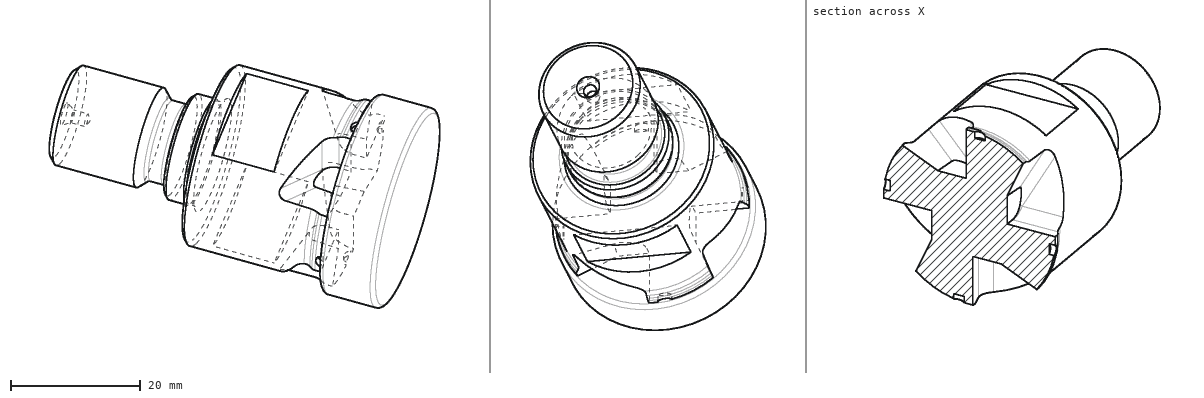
import cadquery as cq
import math

length = 56.0
collar_radius = 16.0
collar_start = 47.0
collar_edge_round = 0.65
body_start = 24.0
body_radius = 14.5
body_chamfer = 0.55
pilot_start = 19.0
pilot_radius = 8.5
pilot_chamfer = 0.55
spigot_radius = 8.0
spigot_end = 14.05
spigot_chamfer = 0.95
neck_radius = 6.5
neck_fillet = 0.95
neck_entry_fillet = 0.9
neck_entry_angle = math.radians(45)

undercut_start = 22.4
undercut_depth = 0.2
undercut_floor_start = 22.75
undercut_floor_end = 23.35
undercut_face_radius = 9.05
undercut_face_depth = 0.15
undercut_outer_radius = 9.85

flare_start = 44.05
flare_radius = 15.25
flare_angle = math.radians(32)
flare_hollow_round = 1.95
flare_crest_round = 1.0

flat_start = 27.0
flat_end = 37.0
flat_distance = 12.0

centre_mouth_radius = 1.8
centre_bore_radius = 1.0
centre_bore_end = 3.65
centre_cone_half_angle = math.radians(30)
centre_tip_half_angle = math.radians(60)

pocket_count = 4
pocket_wall_y = -0.6
pocket_floor_z = 6.7
pocket_wall_corner_x = 43.4
pocket_slant = math.radians(27)
pocket_corner_round = 2.6
ramp_foot_y = -5.6
ramp_angle = 24.0
ramp_skew = 5.0
ramp_round = 1.4

pin_hole_x = 47.35
pin_hole_offset = 1.85
pin_hole_radius = 1.2
pin_hole_depth = 1.1


def revolve_about_x(profile):
    return profile.close().revolve(360, (0, 0, 0), (1, 0, 0))


def make_shank():
    """Spigot, neck and pilot, ending inside the body."""
    neck_start = spigot_end + (spigot_radius - neck_radius) / math.tan(neck_entry_angle)
    entry_tangent = neck_entry_fillet * math.tan(neck_entry_angle / 2)
    entry_rise = entry_tangent * math.sin(neck_entry_angle)
    floor_radius = pilot_radius - undercut_depth
    fillet_middle = neck_fillet * math.sin(math.radians(45))
    shoulder_bottom = body_start + undercut_face_depth
    profile = (
        cq.Workplane("XY")
        .moveTo(0, 0)
        .lineTo(0, spigot_radius - spigot_chamfer)
        .lineTo(spigot_chamfer, spigot_radius)
        .lineTo(spigot_end, spigot_radius)
        .lineTo(neck_start - entry_tangent * math.cos(neck_entry_angle), neck_radius + entry_rise)
        .tangentArcPoint((neck_start + entry_tangent, neck_radius), relative=False)
        .lineTo(pilot_start - neck_fillet, neck_radius)
        .threePointArc(
            (pilot_start - neck_fillet + fillet_middle, neck_radius + neck_fillet - fillet_middle),
            (pilot_start, neck_radius + neck_fillet),
        )
        .lineTo(pilot_start, pilot_radius - pilot_chamfer)
        .lineTo(pilot_start + pilot_chamfer, pilot_radius)
        .lineTo(undercut_start, pilot_radius)
        .lineTo(undercut_floor_start, floor_radius)
        .lineTo(undercut_floor_end, floor_radius)
        .tangentArcPoint((shoulder_bottom, undercut_face_radius), relative=False)
        .lineTo(shoulder_bottom, 0)
    )
    return revolve_about_x(profile)


def make_body():
    """Main cylinder with the shoulder recess and the flare up to the collar."""
    hollow_end_x = flare_start + flare_hollow_round * math.sin(flare_angle)
    hollow_end_r = body_radius + flare_hollow_round * (1 - math.cos(flare_angle))
    crest_start_r = flare_radius - flare_crest_round * (1 - math.cos(flare_angle))
    crest_start_x = hollow_end_x + (crest_start_r - hollow_end_r) / math.tan(flare_angle)
    crest_end_x = crest_start_x + flare_crest_round * math.sin(flare_angle)
    shoulder_bottom = body_start + undercut_face_depth
    profile = (
        cq.Workplane("XY")
        .moveTo(shoulder_bottom, 0)
        .lineTo(shoulder_bottom, undercut_face_radius)
        .lineTo(body_start, undercut_outer_radius)
        .lineTo(body_start, body_radius - body_chamfer)
        .lineTo(body_start + body_chamfer, body_radius)
        .lineTo(flare_start, body_radius)
        .tangentArcPoint((hollow_end_x, hollow_end_r), relative=False)
        .lineTo(crest_start_x, crest_start_r)
        .tangentArcPoint((crest_end_x, flare_radius), relative=False)
        .lineTo(collar_start, flare_radius)
        .lineTo(collar_start, 0)
    )
    return revolve_about_x(profile)


def make_collar():
    collar = cq.Workplane("YZ", origin=(collar_start, 0, 0)).circle(collar_radius)
    return collar.extrude(length - collar_start).edges().fillet(collar_edge_round)


def make_wrench_flats():
    """Cutters for the two opposite flats."""
    depth = collar_radius - flat_distance
    middle_x = (flat_start + flat_end) / 2
    middle_z = flat_distance + depth / 2
    cutter = (
        cq.Workplane("XY", origin=(middle_x, 0, middle_z))
        .box(flat_end - flat_start, 2 * collar_radius, depth)
    )
    return cutter.union(cutter.mirror("XY"))


def make_centre_hole():
    cone_end = (centre_mouth_radius - centre_bore_radius) / math.tan(centre_cone_half_angle)
    tip_end = centre_bore_end + centre_bore_radius / math.tan(centre_tip_half_angle)
    profile = (
        cq.Workplane("XY")
        .moveTo(0, 0)
        .lineTo(0, centre_mouth_radius)
        .lineTo(cone_end, centre_bore_radius)
        .lineTo(centre_bore_end, centre_bore_radius)
        .lineTo(tip_end, 0)
    )
    return revolve_about_x(profile)


def make_pocket():
    """Cutter for the pocket on the +Z side: slanted wall, flat floor and a rising ramp."""
    reach = 2 * collar_radius
    slant_end_x = pocket_wall_corner_x - reach * math.tan(pocket_slant)
    beyond_x = collar_start + reach
    walls = (
        cq.Workplane("XY", origin=(0, 0, -collar_radius))
        .moveTo(pocket_wall_corner_x, pocket_wall_y)
        .lineTo(slant_end_x, pocket_wall_y - reach)
        .lineTo(beyond_x, pocket_wall_y - reach)
        .lineTo(beyond_x, pocket_wall_y)
        .close()
        .extrude(2 * reach)
    )
    above_ramp = (
        cq.Workplane("XY")
        .box(6 * reach, 6 * reach, 2 * reach, centered=(True, True, False))
        .rotate((0, 0, 0), (1, 0, 0), -ramp_angle)
        .rotate((0, 0, 0), (0, 0, 1), -ramp_skew)
        .translate((collar_start, ramp_foot_y, pocket_floor_z))
    )
    ramped = walls.intersect(above_ramp)
    wall_corner = cq.selectors.NearestToPointSelector((pocket_wall_corner_x, pocket_wall_y, collar_radius))
    ramped = ramped.edges("|Z").edges(wall_corner).fillet(pocket_corner_round)
    ramp_edge_y = ramp_foot_y - pocket_floor_z
    ramp_edge_x = pocket_wall_corner_x + (ramp_edge_y - pocket_wall_y) * math.tan(pocket_slant)
    ramp_edge_z = pocket_floor_z + pocket_floor_z * math.tan(math.radians(ramp_angle))
    ramp_edge = cq.selectors.NearestToPointSelector((ramp_edge_x, ramp_edge_y, ramp_edge_z))
    ramped = ramped.edges(ramp_edge).fillet(ramp_round)
    limits = (
        cq.Workplane("XY", origin=(0, 0, pocket_floor_z))
        .box(collar_start, 2 * reach, reach, centered=(False, True, False))
    )
    return ramped.intersect(limits)


def make_pin_hole():
    return (
        cq.Workplane("XY", origin=(pin_hole_x, pin_hole_offset, flare_radius - pin_hole_depth))
        .circle(pin_hole_radius)
        .extrude(2 * pin_hole_depth)
    )


body = make_body().cut(make_wrench_flats())
collar_cutters = make_pocket().union(make_pin_hole())
for index in range(pocket_count):
    body = body.cut(collar_cutters.rotate((0, 0, 0), (1, 0, 0), index * 360 / pocket_count))

result = make_shank().union(body).union(make_collar()).cut(make_centre_hole())